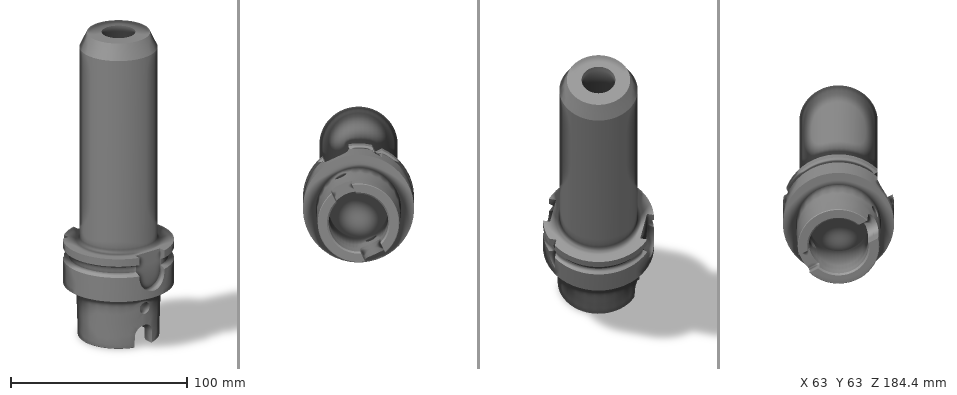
import cadquery as cq

total_height = 184.4
taper_height = 32.0
flange_height = 26.0
flange_top = taper_height + flange_height

taper_top_diameter = 48.3
taper_bottom_diameter = 46.3
bottom_edge_chamfer = 0.4
socket_diameter = 34.0
socket_depth = taper_height
socket_mouth_chamfer = 1.0
cross_hole_diameter = 7.0
cross_hole_height = 23.2

flange_diameter = 63.0
groove_diameter = 56.8
groove_height = taper_height + 18.0
groove_mouth_width = 6.8
groove_floor_width = 3.5

nose_diameter = 44.5
nose_tip_diameter = 36.0
nose_chamfer_height = 9.0
nose_root_fillet = 2.0
bore_diameter = 19.2
bore_depth = 49.8

keyway_centre_height = 45.2
left_keyway_width = 16.0
left_keyway_floor = 26.4
right_keyway_width = 18.0
right_keyway_floor = 26.2
corner_notch_offset = 20.1

drive_slot_width = 12.5
left_drive_slot_height = 6.0
left_drive_slot_fillet = 1.0
right_drive_slot_height = 13.0


def make_body():
    """Revolve the outer profile about Z."""
    taper_top = taper_top_diameter / 2
    taper_bottom = taper_bottom_diameter / 2
    flange = flange_diameter / 2
    groove = groove_diameter / 2
    nose = nose_diameter / 2
    return (
        cq.Workplane("XZ")
        .moveTo(0, 0)
        .lineTo(taper_bottom - bottom_edge_chamfer, 0)
        .lineTo(taper_bottom, bottom_edge_chamfer)
        .lineTo(taper_top, taper_height)
        .lineTo(flange, taper_height)
        .lineTo(flange, groove_height - groove_mouth_width / 2)
        .lineTo(groove, groove_height - groove_floor_width / 2)
        .lineTo(groove, groove_height + groove_floor_width / 2)
        .lineTo(flange, groove_height + groove_mouth_width / 2)
        .lineTo(flange, flange_top)
        .lineTo(nose + nose_root_fillet, flange_top)
        .radiusArc((nose, flange_top + nose_root_fillet), nose_root_fillet)
        .lineTo(nose, total_height - nose_chamfer_height)
        .lineTo(nose_tip_diameter / 2, total_height)
        .lineTo(0, total_height)
        .close()
        .revolve(360, (0, 0), (0, 1))
    )


def round_ended_slot(width, centre_y, start_x, end_x, centre_z, end_z):
    """Slot running along X, straight from end_z to centre_z, closed by a semicircle beyond."""
    half = width / 2
    overshoot = half if end_z < centre_z else -half
    return (
        cq.Workplane("YZ", origin=(start_x, 0, 0))
        .moveTo(centre_y - half, end_z)
        .lineTo(centre_y - half, centre_z)
        .threePointArc((centre_y, centre_z + overshoot), (centre_y + half, centre_z))
        .lineTo(centre_y + half, end_z)
        .close()
        .extrude(end_x - start_x)
    )


def flange_keyway(width, centre_y, start_x, end_x):
    return round_ended_slot(width, centre_y, start_x, end_x, keyway_centre_height, flange_top)


def make_socket():
    """Clamping socket with a chamfered mouth."""
    socket = cq.Workplane("XY").circle(socket_diameter / 2).extrude(socket_depth)
    mouth = (
        cq.Workplane("XY")
        .circle(socket_diameter / 2 + socket_mouth_chamfer)
        .workplane(offset=socket_mouth_chamfer)
        .circle(socket_diameter / 2)
        .loft()
    )
    return socket.union(mouth)


def make_left_drive_slot():
    """Square drive slot on the -X side with rounded inner corners."""
    return (
        cq.Workplane("XY")
        .box(flange_diameter / 2, drive_slot_width, left_drive_slot_height, centered=(False, True, False))
        .edges("|X and >Z")
        .fillet(left_drive_slot_fillet)
        .translate((-flange_diameter / 2, 0, 0))
    )


outer = flange_diameter / 2

bore = cq.Workplane("XY", origin=(0, 0, total_height - bore_depth)).circle(bore_diameter / 2).extrude(bore_depth)
cross_hole = (
    cq.Workplane("YZ", origin=(-outer, 0, 0))
    .center(0, cross_hole_height)
    .circle(cross_hole_diameter / 2)
    .extrude(flange_diameter)
)
left_keyway = flange_keyway(left_keyway_width, 0, -outer, -left_keyway_floor)
right_keyway = flange_keyway(right_keyway_width, 0, right_keyway_floor, outer)
corner_notch = flange_keyway(
    left_keyway_width, -corner_notch_offset - left_keyway_width / 2, -outer, -corner_notch_offset
)
right_drive_slot = round_ended_slot(
    drive_slot_width, 0, 0, outer, right_drive_slot_height - drive_slot_width / 2, 0
)

result = make_body()
for cutter in (
    make_socket(),
    bore,
    cross_hole,
    left_keyway,
    right_keyway,
    corner_notch,
    make_left_drive_slot(),
    right_drive_slot,
):
    result = result.cut(cutter)